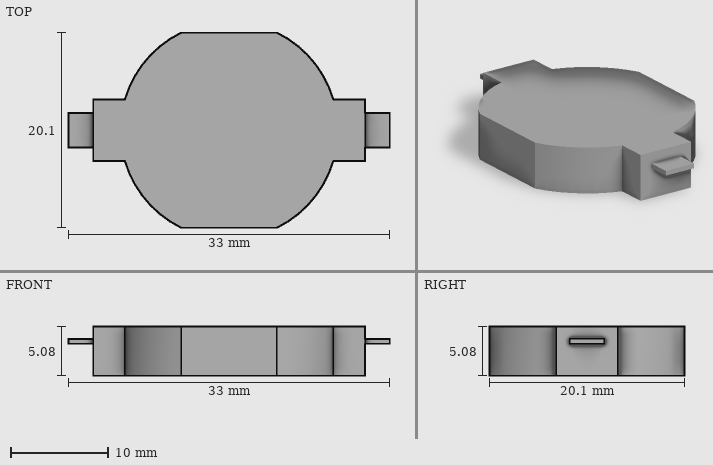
import cadquery as cq

body_radius = 11.176
body_width = 20.066
body_height = 5.08

block_span = 27.94
block_width = 6.35

tab_span = 33.02
tab_width = 3.556
tab_thickness = 0.508
tab_drop = 1.27

tab_length = (tab_span - block_span) / 2
tab_bottom = body_height - tab_drop - tab_thickness


def box_on_base(length, width, height):
    """Box centred on the Z axis, standing on the XY plane."""
    return cq.Workplane("XY").box(length, width, height, centered=(True, True, False))


def make_body():
    """Disc trimmed by two flats parallel to X."""
    disc = cq.Workplane("XY").circle(body_radius).extrude(body_height)
    return disc.intersect(box_on_base(2 * body_radius, body_width, body_height))


def make_end_blocks():
    """One bar through the body forms both end blocks."""
    return box_on_base(block_span, block_width, body_height)


def make_tab(side):
    """Tab on the +X (side = 1) or -X (side = -1) end block."""
    tab_center = side * (block_span + tab_length) / 2
    return box_on_base(tab_length, tab_width, tab_thickness).translate((tab_center, 0, tab_bottom))


result = make_body().union(make_end_blocks())
for side in (-1, 1):
    result = result.union(make_tab(side))